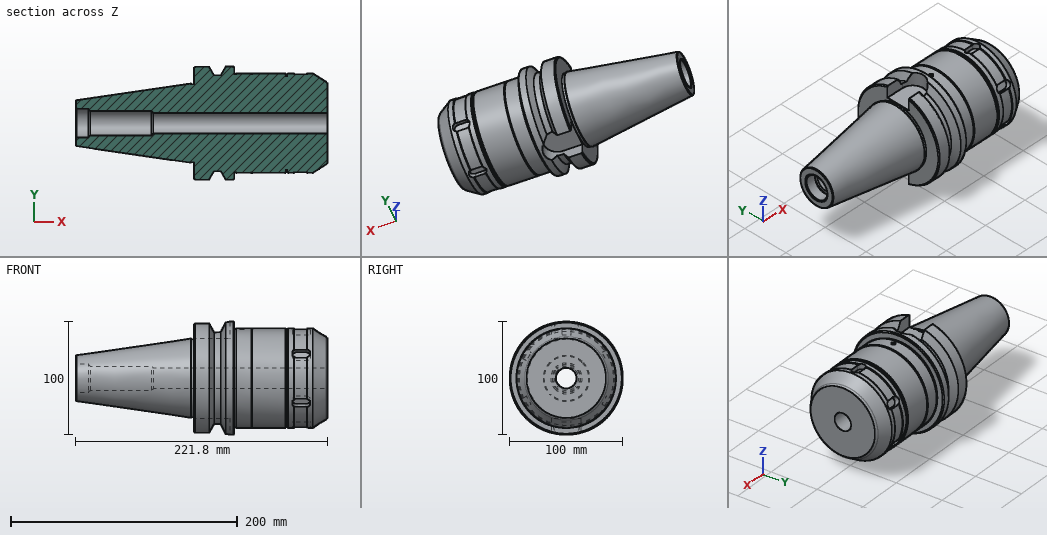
import cadquery as cq
import math

TOTAL_LENGTH = 221.8

TAPER_RATIO = 7 / 24
TAPER_LENGTH = 101.1
TAPER_LARGE_DIAMETER = 70.0
TAPER_SMALL_DIAMETER = TAPER_LARGE_DIAMETER - TAPER_RATIO * TAPER_LENGTH
TAPER_END_CHAMFER = 0.7
NECK_DIAMETER = 69.0
NECK_RAMP = 0.7

FLANGE_DIAMETER = 100.0
FLANGE_START = 104.0
FLANGE_END = 139.7
FLANGE_CHAMFER = 1.0
GROOVE_DIAMETER = 85.0
GROOVE_FLOOR_START = 121.8
GROOVE_FLOOR_LENGTH = 5.8
GROOVE_FLOOR_END = GROOVE_FLOOR_START + GROOVE_FLOOR_LENGTH
GROOVE_WALL_ANGLE = 30.0
GROOVE_WALL_RUN = (FLANGE_DIAMETER - GROOVE_DIAMETER) / 2 * math.tan(math.radians(GROOVE_WALL_ANGLE))

DRIVE_SLOT_WIDTH = 26.0
DRIVE_SLOT_END = 135.7
DRIVE_SLOT_FLOOR = 35.3

BODY_DIAMETER = 88.0
BODY_END = 185.0
BODY_CHAMFER = 0.7
RELIEF_DIAMETER = 87.0
RELIEF_END = 141.3
BODY_LINE_START = 154.5
BODY_LINE_WIDTH = 0.9
PIN_HOLE_X = 146.2
PIN_HOLE_DIAMETER = 4.0
PIN_HOLE_DEPTH = 0.5
PIN_HOLE_CORE_DIAMETER = 3.3
PIN_HOLE_CORE_DEPTH = 1.0

NUT_GAP_DIAMETER = 83.0
NUT_START = 186.0
NUT_CHAMFER = 0.9
NUT_BAND_START = 192.5
NUT_BAND_END = 203.5
NUT_BAND_STEP = 0.55
NUT_CONE_START = 208.7
NUT_CONE_END_DIAMETER = 73.6
NUT_CONE_END = 220.0
NUT_FACE_DIAMETER = 70.0

SPANNER_SLOT_COUNT = 6
SPANNER_SLOT_X = 198.5
SPANNER_SLOT_LENGTH = 16.2
SPANNER_SLOT_WIDTH = 8.2
SPANNER_SLOT_FLOOR = 38.4

MOUTH_DIAMETER = 27.5
MOUTH_CHAMFER_LENGTH = 0.7
BORE_DIAMETER = 25.0
BORE_DEPTH = 11.0
STEP_DIAMETER = 24.0
CORE_DIAMETER = 21.3
CORE_END = 66.5
THROUGH_DIAMETER = 18.0


def revolve_profile(stations):
    """Solid of revolution about X from (position, diameter) stations."""
    outline = [(x, diameter / 2) for x, diameter in stations]
    outline = [(stations[0][0], 0)] + outline + [(stations[-1][0], 0)]
    return cq.Workplane("XY").polyline(outline).close().revolve(360, (0, 0, 0), (1, 0, 0))


def shank():
    return revolve_profile([
        (0, TAPER_SMALL_DIAMETER - 2 * TAPER_END_CHAMFER),
        (TAPER_END_CHAMFER, TAPER_SMALL_DIAMETER + TAPER_RATIO * TAPER_END_CHAMFER),
        (TAPER_LENGTH, TAPER_LARGE_DIAMETER),
        (TAPER_LENGTH + NECK_RAMP, NECK_DIAMETER),
        (FLANGE_START, NECK_DIAMETER),
    ])


def flange():
    chamfered_diameter = FLANGE_DIAMETER - 2 * FLANGE_CHAMFER
    return revolve_profile([
        (FLANGE_START, chamfered_diameter),
        (FLANGE_START + FLANGE_CHAMFER, FLANGE_DIAMETER),
        (GROOVE_FLOOR_START - GROOVE_WALL_RUN, FLANGE_DIAMETER),
        (GROOVE_FLOOR_START, GROOVE_DIAMETER),
        (GROOVE_FLOOR_END, GROOVE_DIAMETER),
        (GROOVE_FLOOR_END + GROOVE_WALL_RUN, FLANGE_DIAMETER),
        (FLANGE_END - FLANGE_CHAMFER, FLANGE_DIAMETER),
        (FLANGE_END, chamfered_diameter),
    ])


def drive_slots():
    half_width = DRIVE_SLOT_WIDTH / 2
    arc_center_x = DRIVE_SLOT_END - half_width
    slot = (
        cq.Workplane("XY", origin=(0, 0, DRIVE_SLOT_FLOOR))
        .moveTo(TAPER_LENGTH, -half_width)
        .lineTo(arc_center_x, -half_width)
        .threePointArc((DRIVE_SLOT_END, 0), (arc_center_x, half_width))
        .lineTo(TAPER_LENGTH, half_width)
        .close()
        .extrude(FLANGE_DIAMETER / 2)
    )
    return slot.union(slot.mirror("XY"))


def body():
    line_end = BODY_LINE_START + BODY_LINE_WIDTH
    return revolve_profile([
        (FLANGE_END, RELIEF_DIAMETER),
        (RELIEF_END, RELIEF_DIAMETER),
        (RELIEF_END, BODY_DIAMETER),
        (BODY_LINE_START, BODY_DIAMETER),
        (BODY_LINE_START, RELIEF_DIAMETER),
        (line_end, RELIEF_DIAMETER),
        (line_end, BODY_DIAMETER),
        (BODY_END - BODY_CHAMFER, BODY_DIAMETER),
        (BODY_END, BODY_DIAMETER - 2 * BODY_CHAMFER),
    ])


def pin_hole():
    surface = cq.Workplane("XY", origin=(PIN_HOLE_X, 0, BODY_DIAMETER / 2))
    core = surface.circle(PIN_HOLE_CORE_DIAMETER / 2).extrude(-PIN_HOLE_CORE_DEPTH)
    rim = surface.circle(PIN_HOLE_DIAMETER / 2).extrude(-PIN_HOLE_DEPTH)
    return core.union(rim)


def nut():
    band_diameter = BODY_DIAMETER - 2 * NUT_BAND_STEP
    return revolve_profile([
        (BODY_END, NUT_GAP_DIAMETER),
        (NUT_START, NUT_GAP_DIAMETER),
        (NUT_START, BODY_DIAMETER - 2 * NUT_CHAMFER),
        (NUT_START + NUT_CHAMFER, BODY_DIAMETER),
        (NUT_BAND_START - NUT_BAND_STEP, BODY_DIAMETER),
        (NUT_BAND_START, band_diameter),
        (NUT_BAND_END, band_diameter),
        (NUT_BAND_END + NUT_BAND_STEP, BODY_DIAMETER),
        (NUT_CONE_START, BODY_DIAMETER),
        (NUT_CONE_END, NUT_CONE_END_DIAMETER),
        (TOTAL_LENGTH, NUT_FACE_DIAMETER),
    ])


def spanner_slots():
    slot = (
        cq.Workplane("XY", origin=(SPANNER_SLOT_X, 0, SPANNER_SLOT_FLOOR))
        .slot2D(SPANNER_SLOT_LENGTH, SPANNER_SLOT_WIDTH)
        .extrude(BODY_DIAMETER / 2)
    )
    slots = cq.Workplane("XY")
    for index in range(SPANNER_SLOT_COUNT):
        angle = index * 360 / SPANNER_SLOT_COUNT
        slots = slots.add(slot.rotate((0, 0, 0), (1, 0, 0), angle))
    return slots.combine()


def bore():
    entry_cone_length = (STEP_DIAMETER - CORE_DIAMETER) / 2
    end_cone_length = (CORE_DIAMETER - THROUGH_DIAMETER) / 2
    return revolve_profile([
        (0, MOUTH_DIAMETER),
        (MOUTH_CHAMFER_LENGTH, BORE_DIAMETER),
        (BORE_DEPTH, BORE_DIAMETER),
        (BORE_DEPTH, STEP_DIAMETER),
        (BORE_DEPTH + entry_cone_length, CORE_DIAMETER),
        (CORE_END, CORE_DIAMETER),
        (CORE_END + end_cone_length, THROUGH_DIAMETER),
        (TOTAL_LENGTH, THROUGH_DIAMETER),
    ])


holder = shank().union(flange()).union(body()).union(nut())
result = holder.cut(drive_slots()).cut(pin_hole()).cut(spanner_slots()).cut(bore())